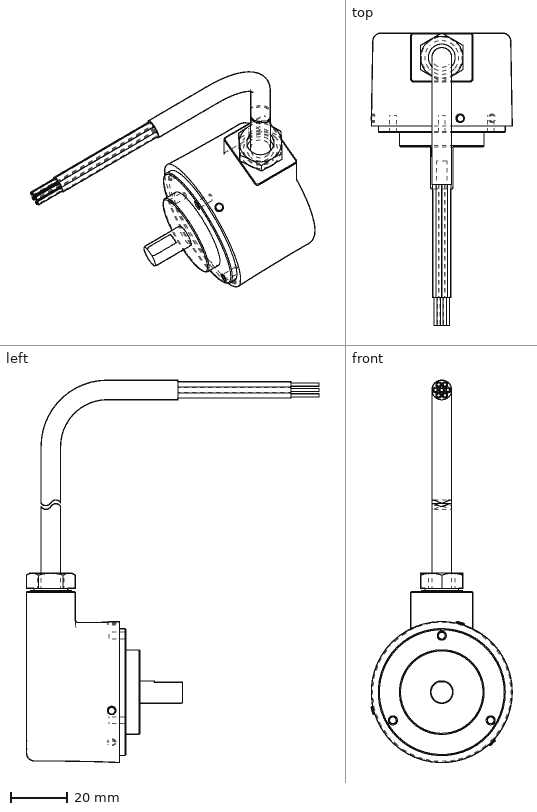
import cadquery as cq
import math


HOUSING_FRONT_DIA = 50.0
HOUSING_LENGTH = 33.0
HOUSING_DRAFT_ANGLE = 1.0
HOUSING_REAR_DIA = HOUSING_FRONT_DIA - 2 * HOUSING_LENGTH * math.tan(math.radians(HOUSING_DRAFT_ANGLE))
HOUSING_REAR_FILLET = 3.0

FLANGE_DIA = 45.0
FLANGE_THICKNESS = 2.3
FLANGE_CHAMFER = 0.4
BOSS_DIA = 30.0
BOSS_LENGTH = 5.0
BOSS_CHAMFER = 0.4
SHAFT_DIA = 8.0
SHAFT_LENGTH = 15.0
SHAFT_CHAMFER_LENGTH = 0.7
SHAFT_CHAMFER_DEPTH = 0.2
SHAFT_FLAT_LENGTH = 10.0
SHAFT_FLAT_HEIGHT = 3.5

MOUNT_HOLE_COUNT = 3
MOUNT_CIRCLE_DIA = 40.0
MOUNT_HOLE_DIA = 2.4
MOUNT_MOUTH_DIA = 3.2
MOUNT_HOLE_DEPTH = 6.0
MOUNT_FIRST_ANGLE = 90.0

SCREW_COUNT = 3
SCREW_DIA = 3.0
SCREW_CHAMFER = 0.3
SCREW_TIP_RADIUS = 25.58
SCREW_ROOT_RADIUS = 22.0
SCREW_FIRST_ANGLE = 75.0
SCREW_TO_FLANGE = 2.8

BLOCK_WIDTH = 22.0
BLOCK_TOP_Z = 35.6
BLOCK_EDGE_FILLET = 1.0
BLOCK_TOP_CHAMFER = 0.3
BLOCK_BASE_FILLET = 1.0

NUT_ACROSS_FLATS = 15.0
NUT_ACROSS_CORNERS = NUT_ACROSS_FLATS / math.cos(math.radians(30))
NUT_HEIGHT = 5.4
NUT_CHAMFER_ANGLE = 30.0
NUT_BORE_DIA = 9.5
COLLAR_DIA = 12.0
COLLAR_HEIGHT = 1.1
COLLAR_FOOT_DIA = 14.5
COLLAR_FOOT_HEIGHT = 0.3

CABLE_DIA = 7.0
CABLE_RADIUS = CABLE_DIA / 2
CABLE_TOP_Z = 110.5
CABLE_BEND_RADIUS = 20.0
CABLE_FORWARD_LENGTH = 25.0
BREAK_LOWER_Z = 65.75
BREAK_GAP = 1.25
BREAK_WAVE = 1.0

WIRE_COUNT = 6
WIRE_RING_RADIUS = 2.2
WIRE_DIA = 2.0
WIRE_LENGTH = 40.0
BARE_DIA = 1.2
BARE_LENGTH = 10.0

housing_front_y = FLANGE_THICKNESS
housing_rear_y = housing_front_y + HOUSING_LENGTH
block_depth = NUT_ACROSS_CORNERS
gland_y = housing_rear_y - NUT_ACROSS_CORNERS / 2
nut_bottom_z = BLOCK_TOP_Z + COLLAR_HEIGHT
cable_axis_z = CABLE_TOP_Z - CABLE_RADIUS
bend_start_z = cable_axis_z - CABLE_BEND_RADIUS
bend_end_y = gland_y - CABLE_BEND_RADIUS
jacket_end_y = bend_end_y - CABLE_FORWARD_LENGTH


def cylinder_along_y(diameter, start_y, length, x=0.0, z=0.0):
    """Cylinder that starts at start_y and runs toward -Y."""
    return (
        cq.Workplane("XZ", origin=(x, start_y, z))
        .circle(diameter / 2)
        .extrude(length)
    )


def cylinder_along_z(diameter, start_z, height):
    """Cylinder on the gland axis."""
    return (
        cq.Workplane("XY", origin=(0, gland_y, start_z))
        .circle(diameter / 2)
        .extrude(height)
    )


def ring_angles(count, first_angle):
    return [math.radians(first_angle + i * 360.0 / count) for i in range(count)]


def housing_cup():
    cup = (
        cq.Workplane("XY")
        .moveTo(0, housing_front_y)
        .lineTo(HOUSING_FRONT_DIA / 2, housing_front_y)
        .lineTo(HOUSING_REAR_DIA / 2, housing_rear_y)
        .lineTo(0, housing_rear_y)
        .close()
        .revolve(360, (0, 0, 0), (0, 1, 0))
    )
    return cup.faces(">Y").edges().fillet(HOUSING_REAR_FILLET)


def outlet_block():
    block = (
        cq.Workplane("XY")
        .center(0, housing_rear_y - block_depth / 2)
        .rect(BLOCK_WIDTH, block_depth)
        .extrude(BLOCK_TOP_Z)
    )
    block = block.edges("|Z").fillet(BLOCK_EDGE_FILLET)
    return block.faces(">Z").edges().chamfer(BLOCK_TOP_CHAMFER)


def housing_with_block():
    """Cup and block, with the seam between them rounded ahead of the cup's rear fillet."""
    joined = housing_cup().union(outlet_block())
    reach = BLOCK_WIDTH / 2 + BLOCK_BASE_FILLET
    seam_zone = cq.selectors.BoxSelector(
        (-reach, housing_rear_y - block_depth - BLOCK_BASE_FILLET, HOUSING_REAR_DIA / 4),
        (reach, housing_rear_y - HOUSING_REAR_FILLET, HOUSING_FRONT_DIA / 2),
    )
    return joined.edges(seam_zone).edges("not |Z").fillet(BLOCK_BASE_FILLET)


def flange_and_boss():
    flange = cylinder_along_y(FLANGE_DIA, housing_front_y, FLANGE_THICKNESS)
    flange = flange.faces("<Y").edges().chamfer(FLANGE_CHAMFER)
    boss = cylinder_along_y(BOSS_DIA, 0, BOSS_LENGTH)
    boss = boss.faces("<Y").edges().chamfer(BOSS_CHAMFER)
    return flange.union(boss)


def shaft():
    rod = cylinder_along_y(SHAFT_DIA, -BOSS_LENGTH, SHAFT_LENGTH)
    rod = rod.faces("<Y").edges().chamfer(SHAFT_CHAMFER_LENGTH, SHAFT_CHAMFER_DEPTH)
    tip_y = -BOSS_LENGTH - SHAFT_LENGTH
    flat_cut = cq.Workplane("XY").box(
        SHAFT_DIA, SHAFT_FLAT_LENGTH, SHAFT_DIA, centered=(True, False, False)
    )
    return rod.cut(flat_cut.translate((0, tip_y, SHAFT_FLAT_HEIGHT)))


def mount_hole(angle):
    x = MOUNT_CIRCLE_DIA / 2 * math.cos(angle)
    z = MOUNT_CIRCLE_DIA / 2 * math.sin(angle)
    hole = (
        cq.Workplane("XZ", origin=(x, 0, z))
        .circle(MOUNT_HOLE_DIA / 2)
        .extrude(-MOUNT_HOLE_DEPTH)
    )
    countersink_depth = (MOUNT_MOUTH_DIA - MOUNT_HOLE_DIA) / 2
    countersink = cq.Solid.makeCone(
        MOUNT_MOUTH_DIA / 2,
        MOUNT_HOLE_DIA / 2,
        countersink_depth,
        cq.Vector(x, 0, z),
        cq.Vector(0, 1, 0),
    )
    return hole.union(cq.Workplane(countersink))


def set_screw(angle):
    """Set screw on a radial line, chamfered at its outer end."""
    screw = (
        cq.Workplane("YZ", origin=(SCREW_ROOT_RADIUS, 0, 0))
        .center(housing_front_y + SCREW_TO_FLANGE, 0)
        .circle(SCREW_DIA / 2)
        .extrude(SCREW_TIP_RADIUS - SCREW_ROOT_RADIUS)
    )
    screw = screw.faces(">X").edges().chamfer(SCREW_CHAMFER)
    return screw.rotate((0, 0, 0), (0, -1, 0), math.degrees(angle))


def gland_nut():
    nut = (
        cq.Workplane("XY", origin=(0, gland_y, nut_bottom_z))
        .transformed(rotate=(0, 0, 90))
        .polygon(6, NUT_ACROSS_CORNERS)
        .extrude(NUT_HEIGHT)
    )
    slope = math.tan(math.radians(NUT_CHAMFER_ANGLE))
    top_radius = NUT_ACROSS_FLATS / 2
    corner_cone = cq.Solid.makeCone(
        top_radius + NUT_HEIGHT / slope,
        top_radius,
        NUT_HEIGHT,
        cq.Vector(0, gland_y, nut_bottom_z),
    )
    nut = nut.intersect(cq.Workplane(corner_cone))
    return nut.cut(cylinder_along_z(NUT_BORE_DIA, nut_bottom_z, NUT_HEIGHT))


def space_above_break(z):
    """Everything above the S-shaped break line whose ends lie at height z."""
    half_wave = CABLE_RADIUS / 2
    return (
        cq.Workplane("YZ", origin=(0, gland_y, z))
        .moveTo(CABLE_RADIUS, 0)
        .threePointArc((half_wave, -BREAK_WAVE), (0, 0))
        .threePointArc((-half_wave, BREAK_WAVE), (-CABLE_RADIUS, 0))
        .lineTo(-CABLE_RADIUS, CABLE_TOP_Z)
        .lineTo(CABLE_RADIUS, CABLE_TOP_Z)
        .close()
        .extrude(CABLE_RADIUS, both=True)
    )


def wire(x, z):
    insulation = cylinder_along_y(WIRE_DIA, jacket_end_y, WIRE_LENGTH, x, z)
    bare_end = cylinder_along_y(BARE_DIA, jacket_end_y - WIRE_LENGTH, BARE_LENGTH, x, z)
    return insulation.union(bare_end)


def build_encoder():
    """Housing, flange, shaft, gland and the cable stub below the break."""
    encoder = housing_with_block()
    encoder = encoder.union(flange_and_boss()).union(shaft())
    for angle in ring_angles(MOUNT_HOLE_COUNT, MOUNT_FIRST_ANGLE):
        encoder = encoder.cut(mount_hole(angle))
    for angle in ring_angles(SCREW_COUNT, SCREW_FIRST_ANGLE):
        encoder = encoder.union(set_screw(angle))
    encoder = encoder.union(cylinder_along_z(COLLAR_DIA, BLOCK_TOP_Z, COLLAR_HEIGHT))
    encoder = encoder.union(cylinder_along_z(COLLAR_FOOT_DIA, BLOCK_TOP_Z, COLLAR_FOOT_HEIGHT))
    encoder = encoder.union(gland_nut())
    stub_height = BREAK_LOWER_Z + BREAK_WAVE - nut_bottom_z
    stub = cylinder_along_z(CABLE_DIA, nut_bottom_z, stub_height)
    return encoder.union(stub.cut(space_above_break(BREAK_LOWER_Z)))


def build_cable_end():
    """Bent cable above the break, with its stripped wires."""
    start_z = BREAK_LOWER_Z + BREAK_GAP - BREAK_WAVE
    bend_middle = CABLE_BEND_RADIUS * (1 - math.sqrt(0.5))
    path = (
        cq.Workplane("YZ")
        .moveTo(gland_y, start_z)
        .lineTo(gland_y, bend_start_z)
        .threePointArc((gland_y - bend_middle, cable_axis_z - bend_middle), (bend_end_y, cable_axis_z))
        .lineTo(jacket_end_y, cable_axis_z)
    )
    cable = cq.Workplane("XY", origin=(0, gland_y, start_z)).circle(CABLE_RADIUS).sweep(path)
    below_break = cylinder_along_z(CABLE_DIA, start_z, 2 * BREAK_WAVE)
    below_break = below_break.cut(space_above_break(BREAK_LOWER_Z + BREAK_GAP))
    cable = cable.cut(below_break)
    cable = cable.union(wire(0, cable_axis_z))
    for angle in ring_angles(WIRE_COUNT, 0):
        x = WIRE_RING_RADIUS * math.cos(angle)
        z = cable_axis_z + WIRE_RING_RADIUS * math.sin(angle)
        cable = cable.union(wire(x, z))
    return cable


encoder = build_encoder()
cable_end = build_cable_end()
result = cq.Compound.makeCompound([encoder.solids().val(), cable_end.solids().val()])